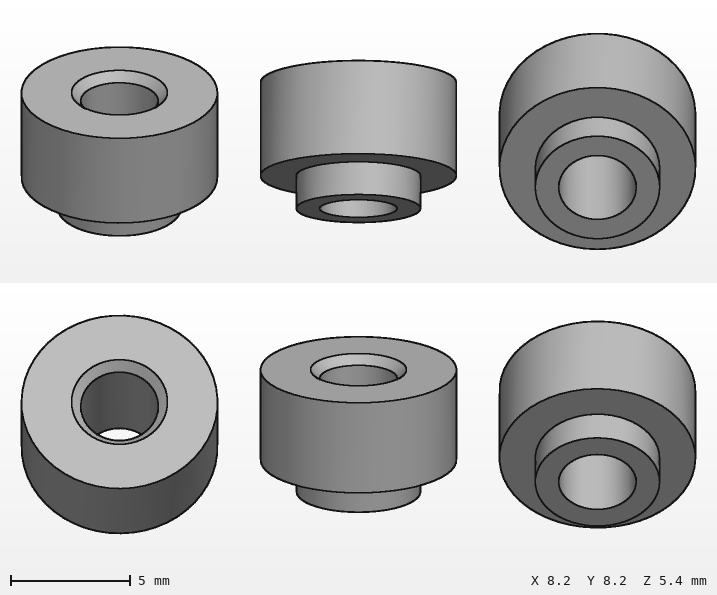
import cadquery as cq

body_diameter = 8.2
body_height = 4.0
spigot_diameter = 5.2
spigot_height = 1.4
bore_diameter = 3.24
countersink_diameter = 4.01

total_height = spigot_height + body_height
countersink_size = (countersink_diameter - bore_diameter) / 2

spigot = cq.Workplane("XY").circle(spigot_diameter / 2).extrude(spigot_height)
body = (
    cq.Workplane("XY")
    .workplane(offset=spigot_height)
    .circle(body_diameter / 2)
    .extrude(body_height)
)

bore = cq.Workplane("XY").circle(bore_diameter / 2).extrude(total_height)
bushing = spigot.union(body).cut(bore)

bore_mouth = cq.selectors.RadiusNthSelector(0)
result = bushing.faces(">Z").edges(bore_mouth).chamfer(countersink_size)